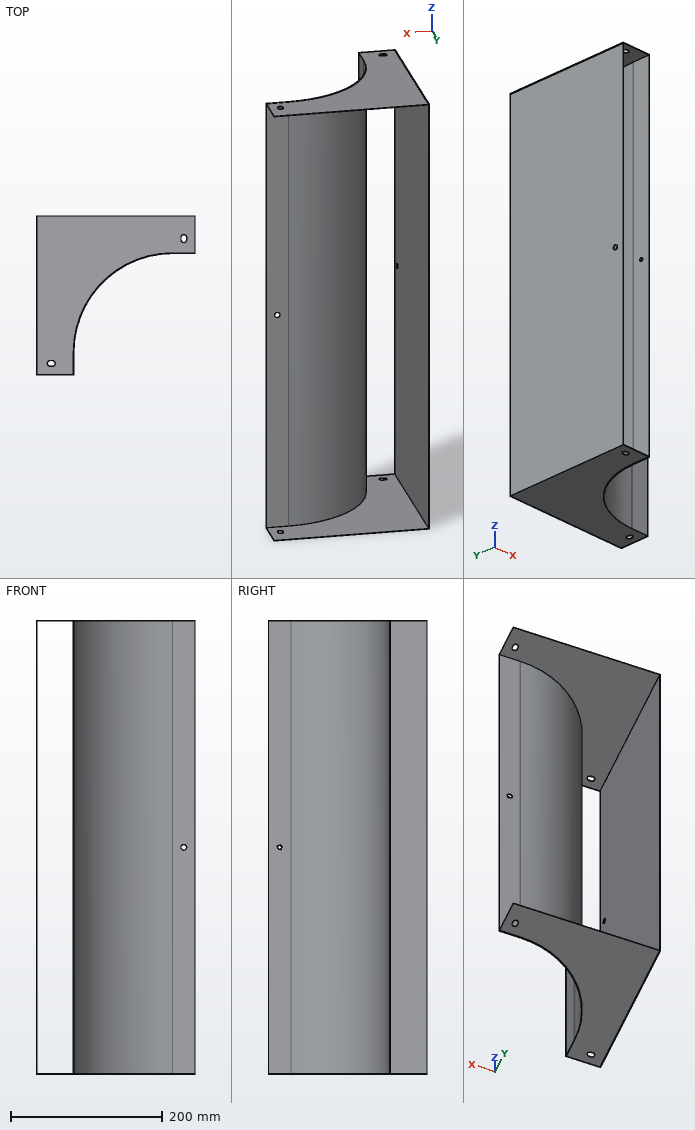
import cadquery as cq

side = 210.0
height = 600.0
sheet = 1.0

channel_width = 50.0
flat_length = 30.0
arc_radius = side - flat_length - channel_width

end_margin = 15.0
clearance_diameter = 7.0
pilot_diameter = 5.0
slot_width = clearance_diameter
slot_length = 10.0
left_slot_x = 20.0
back_slot_inset = 30.0
mid_height = height / 2


def concave_region(offset):
    """Full-height solid on the hollow side of the inner wall, shrunk by offset toward the +X -Y corner."""
    near = channel_width + offset
    far = side - near
    radius = arc_radius - offset
    return (
        cq.Workplane("XY")
        .moveTo(near, 0)
        .lineTo(near, flat_length)
        .radiusArc((side - flat_length, far), radius)
        .lineTo(side, far)
        .lineTo(side, 0)
        .close()
        .extrude(height)
    )


def end_plate(bottom):
    """L-shaped end plate with a concave inner edge."""
    plate = cq.Workplane("XY").box(side, side, sheet, centered=False).translate((0, 0, bottom))
    return plate.cut(concave_region(0))


def slot_cutter(x, y, angle):
    """Vertical slot passing through both end plates."""
    return cq.Workplane("XY").center(x, y).slot2D(slot_length, slot_width, angle).extrude(height)


left_wall = cq.Workplane("XY").box(sheet, side, height, centered=False)
curved_wall = concave_region(-sheet).cut(concave_region(0))
shell = left_wall.union(curved_wall)
for plate_bottom in (0, height - sheet):
    shell = shell.union(end_plate(plate_bottom))

left_slot = slot_cutter(left_slot_x, end_margin, 0)
back_slot = slot_cutter(side - end_margin, side - back_slot_inset, 90)

pilot_hole = (
    cq.Workplane("YZ")
    .center(end_margin, mid_height)
    .circle(pilot_diameter / 2)
    .extrude(side)
)
wall_hole = (
    cq.Workplane("YZ")
    .center(end_margin, mid_height)
    .circle(clearance_diameter / 2)
    .extrude(channel_width / 2)
)

flat_hole = (
    cq.Workplane("XZ")
    .center(side - end_margin, mid_height)
    .circle(clearance_diameter / 2)
    .extrude(-side)
)

result = shell
for cutter in (left_slot, back_slot, wall_hole, pilot_hole, flat_hole):
    result = result.cut(cutter)